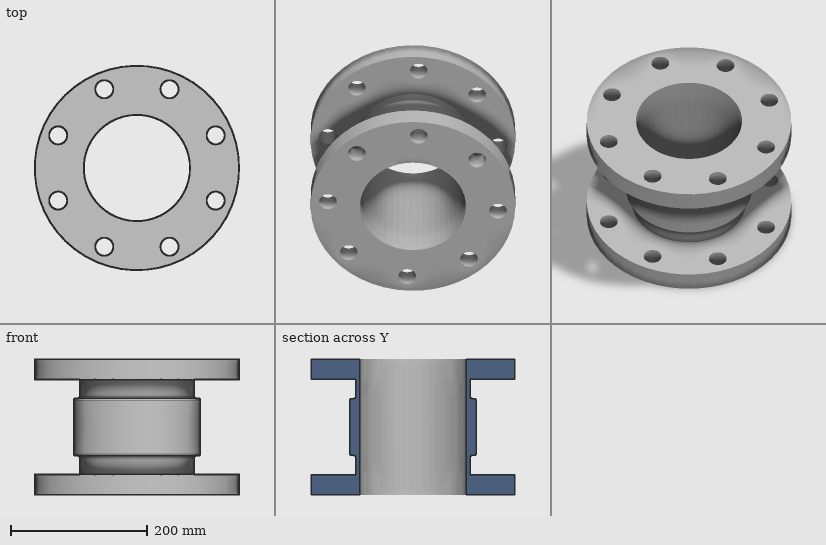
import cadquery as cq

overall_height = 199.0
flange_diameter = 300.0
flange_thickness = 30.0
pipe_diameter = 168.3
bore_diameter = 155.5

sleeve_diameter = 186.0
sleeve_height = 84.0
blend_radius = 3.0

bolt_count = 8
bolt_circle_diameter = 250.0
bolt_hole_diameter = 26.0

flange_centre_z = (overall_height - flange_thickness) / 2


def cylinder(diameter, height, centre_z=0):
    """Solid cylinder along Z, centred at the given height."""
    return cq.Workplane("XY").cylinder(height, diameter / 2).translate((0, 0, centre_z))


def make_body():
    """Pipe and sleeve, with every edge of the sleeve blended."""
    pipe = cylinder(pipe_diameter, overall_height)
    sleeve = cylinder(sleeve_diameter, sleeve_height)
    rounded_sleeve = sleeve.edges("%CIRCLE").fillet(blend_radius)
    body = pipe.union(rounded_sleeve)

    sleeve_end_z = sleeve_height / 2
    reach = pipe_diameter / 2 + blend_radius / 2
    corner_edges = cq.selectors.BoxSelector(
        (-reach, -reach, -sleeve_end_z - blend_radius / 2),
        (reach, reach, sleeve_end_z + blend_radius / 2),
        boundingbox=True,
    )
    return body.edges("%CIRCLE").edges(corner_edges).fillet(blend_radius)


def make_bolt_holes():
    """Cylinders through both flanges, starting half a pitch from the X axis."""
    half_pitch_angle = 180 / bolt_count
    return (
        cq.Workplane("XY")
        .polarArray(bolt_circle_diameter / 2, half_pitch_angle, 360, bolt_count)
        .circle(bolt_hole_diameter / 2)
        .extrude(overall_height / 2, both=True)
    )


result = make_body()
for flange_z in (-flange_centre_z, flange_centre_z):
    result = result.union(cylinder(flange_diameter, flange_thickness, flange_z))
result = result.cut(cylinder(bore_diameter, overall_height))
result = result.cut(make_bolt_holes())